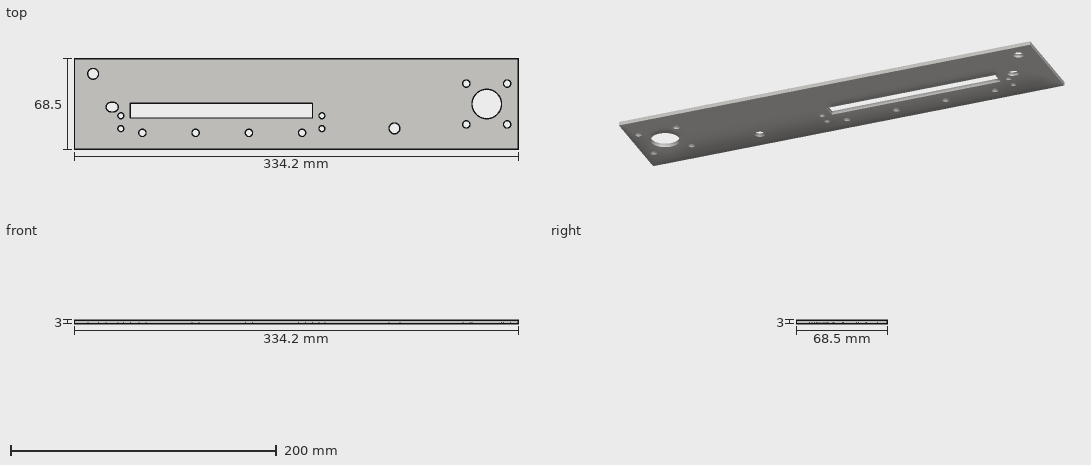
import cadquery as cq

length = 334.2
width = 68.5
thickness = 3.0

window_length = 137.0
window_width = 11.0
window_x = -56.5
window_y = -5.0

end_hole_diameter = 4.5
end_hole_span = 151.5
end_hole_pitch = 9.7
end_hole_y = -13.7

row_hole_diameter = 5.5
row_hole_count = 4
row_hole_pitch = 40.0
row_center_x = -55.8
row_y = -21.7

bore_diameter = 22.0
bore_x = 143.5
screw_hole_diameter = 5.5
screw_hole_pitch = 30.8

mount_hole_diameter = 8.0
mount_hole_points = [(-153.0, 22.7), (74.0, -18.5)]

oblong_length = 9.0
oblong_width = 7.0
oblong_x = -138.7
oblong_y = -2.5


def top_plane_at(x, y):
    """Sketch plane on the top face, with its origin at (x, y)."""
    return plate.faces(">Z").workplane(origin=(x, y, thickness / 2))


plate = cq.Workplane("XY").box(length, width, thickness)

plate = top_plane_at(window_x, window_y).rect(window_length, window_width).cutThruAll()
plate = (
    top_plane_at(window_x, end_hole_y)
    .rarray(end_hole_span, end_hole_pitch, 2, 2)
    .hole(end_hole_diameter)
)

plate = (
    top_plane_at(row_center_x, row_y)
    .rarray(row_hole_pitch, 3.5, row_hole_count, 1)
    .hole(row_hole_diameter)
)

plate = top_plane_at(bore_x, 0).hole(bore_diameter)
plate = (
    top_plane_at(bore_x, 0)
    .rarray(screw_hole_pitch, screw_hole_pitch, 2, 2)
    .hole(screw_hole_diameter)
)

plate = top_plane_at(0, 0).pushPoints(mount_hole_points).hole(mount_hole_diameter)
plate = top_plane_at(oblong_x, oblong_y).slot2D(oblong_length, oblong_width).cutThruAll()

result = plate